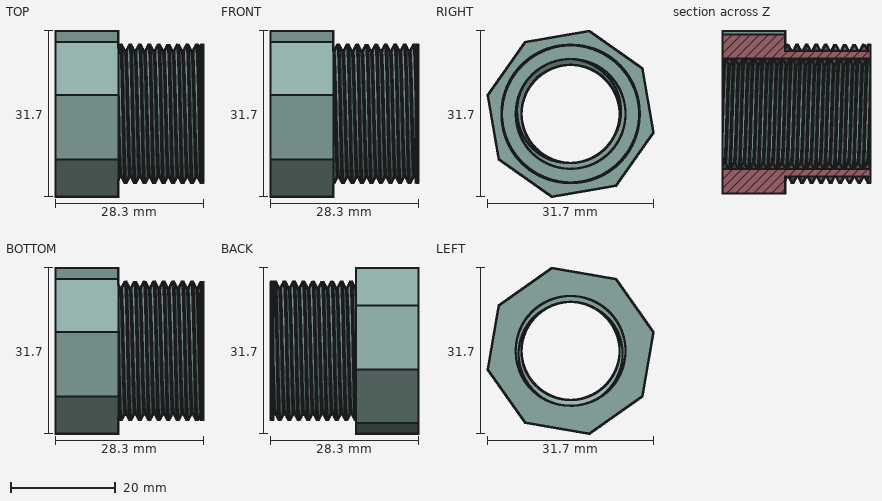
import cadquery as cq
import math

across_flats = 30.0
head_length = 12.0
flat_count = 8
head_turn = 12.7

total_length = 28.3
core_diameter = 24.08
bore_diameter = 20.97

turns_measured = 10
length_of_turns = 18.15
pitch = length_of_turns / turns_measured
outer_crest_diameter = 26.42
inner_crest_diameter = 18.7
crest_width = pitch / 6
root_gap = pitch / 6
base_width = pitch - root_gap

end_ring_length = 0.57
end_ring_chamfer = 0.13
end_ring_start = total_length - end_ring_length


def tube(outer_diameter, inner_diameter, start, end):
    """Plain tube along X between two stations."""
    rings = cq.Workplane("YZ", origin=(start, 0, 0)).circle(outer_diameter / 2).circle(inner_diameter / 2)
    return rings.extrude(end - start)


def make_sleeve():
    """Octagonal head, threaded core and end ring, with the bore through all of them."""
    corner_radius = across_flats / 2 / math.cos(math.pi / flat_count)
    head = (
        cq.Workplane("YZ")
        .polygon(flat_count, 2 * corner_radius)
        .extrude(head_length)
        .rotate((0, 0, 0), (1, 0, 0), 90 - head_turn)
    )
    core = cq.Workplane("YZ").circle(core_diameter / 2).extrude(total_length)
    end_ring = (
        cq.Workplane("YZ", origin=(end_ring_start, 0, 0))
        .circle(outer_crest_diameter / 2)
        .extrude(end_ring_length)
        .edges()
        .chamfer(end_ring_chamfer)
    )
    bore = cq.Workplane("YZ").circle(bore_diameter / 2).extrude(total_length)
    return head.union(core).union(end_ring).cut(bore)


def make_thread(base_diameter, crest_diameter, start, end, start_angle):
    """Trapezoidal ridge on a cylinder, trimmed flat at both stations.

    The ridge is centred on the start station at start_angle, measured from +Y towards +Z.
    """
    base_radius = base_diameter / 2
    crest_radius = crest_diameter / 2
    turns_before = 1
    turns_after = math.ceil((end - start) / pitch) + 1
    helix_length = (turns_before + turns_after) * pitch
    helix = cq.Wire.makeHelix(pitch, helix_length, base_radius)
    ridge = (
        cq.Workplane("XZ")
        .moveTo(base_radius, -base_width / 2)
        .lineTo(crest_radius, -crest_width / 2)
        .lineTo(crest_radius, crest_width / 2)
        .lineTo(base_radius, base_width / 2)
        .close()
        .sweep(cq.Workplane(helix), isFrenet=True)
    )
    ridge = ridge.rotate((0, 0, 0), (1, 1, 1), 120)
    ridge = ridge.rotate((0, 0, 0), (1, 0, 0), start_angle)
    ridge = ridge.translate((start - turns_before * pitch, 0, 0))

    largest_diameter = max(base_diameter, crest_diameter) + pitch
    smallest_diameter = min(base_diameter, crest_diameter) - pitch
    return ridge.intersect(tube(largest_diameter, smallest_diameter, start, end))


sleeve = make_sleeve()
outer_thread = make_thread(core_diameter, outer_crest_diameter, head_length, end_ring_start, -90)
inner_thread = make_thread(bore_diameter, inner_crest_diameter, 0, total_length, 90)

result = cq.Compound.makeCompound([
    *sleeve.solids().vals(),
    *outer_thread.solids().vals(),
    *inner_thread.solids().vals(),
])